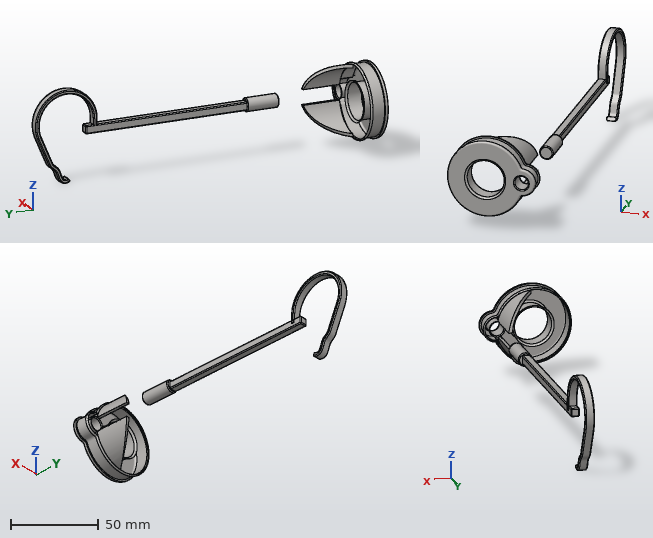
import cadquery as cq
import math


flange_radius = 22.7
groove_depth = 1.0
bore_radius = 11.0
bore_fillet = 1.2
ring_depth = 11.3
front_flange_depth = 2.3
rear_flange_depth = 1.2
front_rim_fillet = 1.0
rear_rim_fillet = 0.8

ear_x = 21.7
ear_radius = 8.0
neck_fillet = 1.6
ear_hole_radius = 4.0
ear_hole_fillet = 0.6

shell_outer_radius = flange_radius - rear_rim_fillet
shell_wall = 2.0
shell_length = 23.8
shell_start_x = 1.6
shell_slot_width = 9.5
rim_spline_points = 24

plug_radius = 4.0
plug_start_y = 50.2
plug_length = 20.3
plug_chamfer = 0.6
rod_end_y = 172.8
rod_width = 5.1
rod_chamfer = 0.6

strap_thickness = 2.5
strap_width = 5.5
strap_chamfer = 0.6
strap_side_x = 18.5
hook_back_y = 204.8
hook_top_z = 25.5
hook_outer_radius = 19.7
arm_angle = 23.4
arm_length = 17.6
tip_points = [(191.0, -21.7), (189.2, -26.0), (186.8, -29.0), (183.5, -28.5)]
tip_direction = (-1, 0.8)

rod_x = strap_side_x + rod_width / 2


def disc_with_ear(inset, start_y, depth):
    """Round plate with a blended ear, its outline set inwards by `inset`."""
    disc = cq.Workplane("XZ", origin=(0, start_y, 0)).circle(flange_radius - inset).extrude(-depth)
    ear = cq.Workplane("XZ", origin=(ear_x, start_y, 0)).circle(ear_radius - inset).extrude(-depth)
    plate = disc.union(ear)
    neck_box = cq.selectors.BoxSelector(
        (0, start_y - depth, -flange_radius), (ear_x, start_y + 2 * depth, flange_radius)
    )
    return plate.edges("|Y").edges(neck_box).fillet(neck_fillet + inset)


def shell_curves(radius):
    """Base half circle and slanted rim of the shell wall at one radius."""
    slope = shell_length / (shell_outer_radius - shell_start_x)
    tip_y = ring_depth + shell_length
    side_y = ring_depth - slope * shell_start_x

    def rim_point(share):
        angle = math.pi * (share - 0.5)
        y = side_y + (tip_y - side_y) * math.cos(angle)
        return (radius * math.cos(angle), y, radius * math.sin(angle))

    base = cq.Edge.makeThreePointArc(
        cq.Vector(0, 0, -radius), cq.Vector(radius, 0, 0), cq.Vector(0, 0, radius)
    )
    rim = cq.Workplane("XY").parametricCurve(rim_point, N=rim_spline_points).edges().val()
    return base, rim


def make_shell():
    """Half-round wall whose slanted rim is level across the wall, split into two horns."""
    outer_base, outer_rim = shell_curves(shell_outer_radius)
    inner_base, inner_rim = shell_curves(shell_outer_radius - shell_wall)
    curve_pairs = [
        (outer_base, outer_rim),
        (inner_base, inner_rim),
        (outer_rim, inner_rim),
        (outer_base, inner_base),
    ]
    faces = [cq.Face.makeRuledSurface(first, second) for first, second in curve_pairs]
    for end in (0, 1):
        corners = [edge.positionAt(end) for edge in (outer_base, outer_rim, inner_rim, inner_base)]
        faces.append(cq.Face.makeFromWires(cq.Wire.makePolygon(corners, close=True)))
    wall = cq.Workplane(cq.Solid.makeSolid(cq.Shell.makeShell(faces)))
    front_block = cq.Workplane("XZ").rect(2 * flange_radius, 2 * flange_radius)
    front_block = front_block.extrude(rear_flange_depth - ring_depth)
    slot = cq.Workplane("XZ", origin=(ear_x, 0, 0)).rect(2 * ear_radius, shell_slot_width)
    slot = slot.extrude(-(ring_depth + shell_length))
    return wall.cut(front_block).cut(slot)


def rounded_hole(hole_x, radius, fillet):
    """Cutter for a hole through the ring, with its edge rounded over at both faces."""
    hole = (
        cq.Workplane("XY")
        .lineTo(radius + fillet, 0)
        .radiusArc((radius, fillet), -fillet)
        .lineTo(radius, ring_depth - fillet)
        .radiusArc((radius + fillet, ring_depth), -fillet)
        .lineTo(0, ring_depth)
        .close()
        .revolve(360, (0, 0), (0, 1))
    )
    return hole.translate((hole_x, 0, 0))


def make_ring():
    """Grooved ring with its ear, both holes and the slanted shell."""
    front_flange = disc_with_ear(0, 0, front_flange_depth)
    front_flange = front_flange.faces("<Y").edges().fillet(front_rim_fillet)
    core = disc_with_ear(groove_depth, 0, ring_depth)
    rear_flange = disc_with_ear(0, ring_depth - rear_flange_depth, rear_flange_depth)
    rear_flange = rear_flange.faces(">Y").edges().fillet(rear_rim_fillet)
    body = core.union(front_flange).union(rear_flange)
    body = body.cut(rounded_hole(0, bore_radius, bore_fillet))
    body = body.cut(rounded_hole(ear_x, ear_hole_radius, ear_hole_fillet))
    return body.union(make_shell())


def make_strap():
    """Strap swept along its centre line in the YZ plane, from the rod up and round to the tip."""
    radius = hook_outer_radius - strap_thickness / 2
    centre_y = hook_back_y - hook_outer_radius
    centre_z = hook_top_z - hook_outer_radius
    angle = math.radians(arm_angle)
    arm_start = (centre_y + radius * math.cos(angle), centre_z - radius * math.sin(angle))
    arm_end = (arm_start[0] - arm_length * math.sin(angle), arm_start[1] - arm_length * math.cos(angle))
    strap_x = strap_side_x + strap_width / 2
    path = (
        cq.Workplane("YZ", origin=(strap_x, 0, 0))
        .moveTo(centre_y - radius, 0)
        .lineTo(centre_y - radius, centre_z)
        .threePointArc((centre_y, centre_z + radius), arm_start)
        .lineTo(*arm_end)
        .spline(
            tip_points,
            tangents=[(-math.sin(angle), -math.cos(angle)), tip_direction],
            includeCurrent=True,
        )
    )
    section = cq.Workplane("XY", origin=(strap_x, centre_y - radius, 0)).sketch()
    section = section.rect(strap_width, strap_thickness).vertices().chamfer(strap_chamfer).finalize()
    return section.sweep(path)


def make_hanger():
    """Plug, square rod and strap hook in one piece."""
    plug = cq.Workplane("XZ", origin=(ear_x, plug_start_y, 0)).circle(plug_radius).extrude(-plug_length)
    plug = plug.edges().chamfer(plug_chamfer)
    rod_start_y = plug_start_y + plug_length
    rod = cq.Workplane("XZ", origin=(rod_x, rod_start_y, 0)).rect(rod_width, rod_width)
    rod = rod.extrude(rod_start_y - rod_end_y)
    rod = rod.edges("|Y or >Y").chamfer(rod_chamfer)
    return plug.union(rod).union(make_strap())


ring = make_ring()
hanger = make_hanger()

result = cq.Compound.makeCompound([ring.val(), hanger.val()])